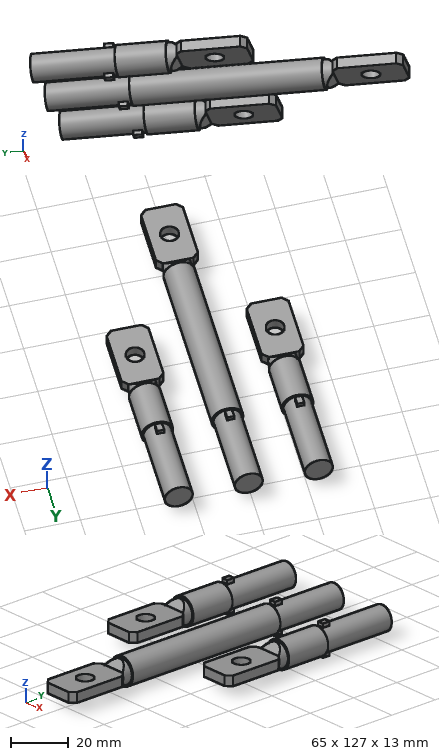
import cadquery as cq

OVERALL_LENGTH = 127.0
TERMINAL_PITCH = 25.0

STEM_DIAMETER = 10.0
STEM_RADIUS = STEM_DIAMETER / 2
COLLAR_DIAMETER = 11.3
COLLAR_START = 30.0
NECK_LENGTH = 4.0
AXIS_OFFSET = 0.8

BLADE_WIDTH = 15.0
BLADE_LENGTH = 25.0
BLADE_THICKNESS = 4.1
BLADE_CORNER = 2.0
HOLE_DIAMETER = 6.5

LUG_WIDTH = 2.5
LUG_LENGTH = 3.2
LUG_SPAN = 13.0
LUG_START = 25.4

LONG_BLADE_START = OVERALL_LENGTH - BLADE_LENGTH
SHORT_BLADE_START = 52.0


def round_bar(diameter, start, end):
    """Cylinder on the stem axis between two distances from the free end."""
    return (
        cq.Workplane("XZ", origin=(AXIS_OFFSET, -start, 0))
        .circle(diameter / 2)
        .extrude(end - start)
    )


def stem(blade_start):
    """Round bar whose blade end is bevelled at 45 degrees down to the blade thickness."""
    half_blade = BLADE_THICKNESS / 2
    bevel = STEM_RADIUS - half_blade
    side_outline = (
        cq.Workplane("YZ", origin=(AXIS_OFFSET, 0, 0))
        .polyline([
            (0, STEM_RADIUS),
            (bevel - blade_start, STEM_RADIUS),
            (-blade_start, half_blade),
            (-blade_start, -half_blade),
            (bevel - blade_start, -STEM_RADIUS),
            (0, -STEM_RADIUS),
        ])
        .close()
        .extrude(STEM_RADIUS, both=True)
    )
    return round_bar(STEM_DIAMETER, 0, blade_start).intersect(side_outline)


def collar(blade_start):
    return round_bar(COLLAR_DIAMETER, COLLAR_START, blade_start - NECK_LENGTH)


def lugs():
    """One block through the stem, showing as a lug on each side."""
    lug_centre = LUG_START + LUG_LENGTH / 2
    return cq.Workplane("XY", origin=(AXIS_OFFSET, -lug_centre, 0)).box(LUG_WIDTH, LUG_LENGTH, LUG_SPAN)


def blade(blade_start):
    blade_centre = blade_start + BLADE_LENGTH / 2
    return (
        cq.Workplane("XY", origin=(0, -blade_centre, 0))
        .box(BLADE_WIDTH, BLADE_LENGTH, BLADE_THICKNESS)
        .edges("|Z")
        .chamfer(BLADE_CORNER)
        .faces(">Z")
        .workplane(origin=(0, -blade_centre, 0))
        .hole(HOLE_DIAMETER)
    )


def terminal(centre_x, blade_start):
    """One complete terminal with its blade centred on centre_x."""
    body = (
        stem(blade_start)
        .union(collar(blade_start))
        .union(lugs())
        .union(blade(blade_start))
    )
    return body.translate((centre_x, 0, 0)).solids()


long_terminal = terminal(0, LONG_BLADE_START)
short_terminals = [terminal(side * TERMINAL_PITCH, SHORT_BLADE_START) for side in (-1, 1)]

result = cq.Compound.makeCompound(
    [long_terminal.val(), *[short_terminal.val() for short_terminal in short_terminals]]
)